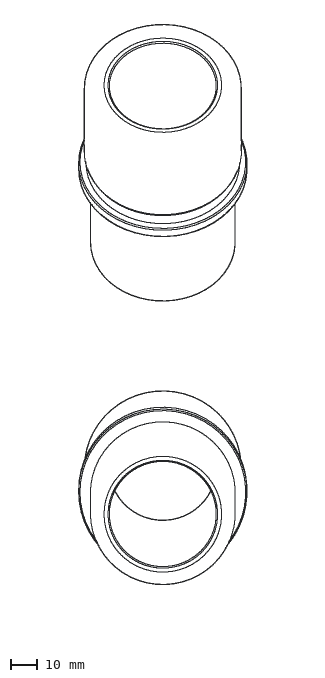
import cadquery as cq

total_length = 100.0
flange_bottom = 47.0
flange_thickness = 5.0
flange_top = flange_bottom + flange_thickness
neck_length = 5.0
neck_top = flange_top + neck_length
relief_length = 2.0
relief_bottom = flange_bottom - relief_length

flange_radius = 31.5
head_radius = 29.4
neck_radius = 28.8
shank_radius = 27.1
relief_radius = 26.4
liner_radius = 22.0
bore_radius = 20.0

end_fillet = 2.0
flange_chamfer = 0.5
bore_chamfer = 0.5
shoulder_height = 1.4


def make_bush():
    """Flanged bush: shank below, head above, with a seat for the liner."""
    profile = [
        (liner_radius, 0),
        (shank_radius, 0),
        (shank_radius, relief_bottom),
        (relief_radius, flange_bottom),
        (flange_radius - flange_chamfer, flange_bottom),
        (flange_radius, flange_bottom + flange_chamfer),
        (flange_radius, flange_top - flange_chamfer),
        (flange_radius - flange_chamfer, flange_top),
        (neck_radius, flange_top),
        (neck_radius, neck_top),
        (head_radius, neck_top + shoulder_height),
        (head_radius, total_length),
        (liner_radius, total_length),
    ]
    body = cq.Workplane("XZ").polyline(profile).close().revolve(360, (0, 0, 0), (0, 1, 0))
    body = body.faces(">Z").edges(cq.selectors.RadiusNthSelector(-1)).fillet(end_fillet)
    return body.faces("<Z").edges(cq.selectors.RadiusNthSelector(-1)).fillet(end_fillet)


def make_liner():
    """Thin sleeve flush with the bush ends, chamfered at both ends of its bore."""
    sleeve = cq.Workplane("XY").circle(liner_radius).circle(bore_radius).extrude(total_length)
    bore_rims = sleeve.faces("|Z").edges(cq.selectors.RadiusNthSelector(0))
    return bore_rims.chamfer(bore_chamfer)


bush = make_bush()
liner = make_liner()

result = cq.Compound.makeCompound([bush.val(), liner.val()])